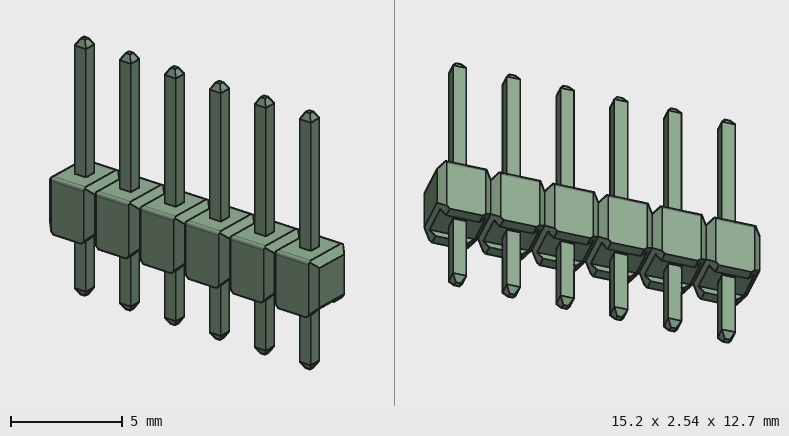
import cadquery as cq

length = 15.24
unit_count = 6
pitch = length / unit_count

block_width = pitch
block_height = 2.8
end_bevel = 0.35
bottom_bevel = 0.49
top_edge_radius = 0.17
groove_width = 1.54
groove_depth = 0.29

pin_length = 5 * pitch
pin_width = pitch / 4
pin_below_block = 3.2
tip_length = 0.34
tip_flat = 0.25


def make_block():
    """Insulator block with rounded long top edges, beveled ends and a groove underneath."""
    half = block_width / 2
    bar = (
        cq.Workplane("XY")
        .box(block_width, block_width, block_height, centered=(True, True, False))
        .edges("|X and >Z")
        .fillet(top_edge_radius)
    )
    plan_prism = (
        cq.Workplane("XY")
        .rect(block_width, block_width)
        .extrude(block_height)
        .edges("|Z")
        .chamfer(end_bevel)
    )
    elevation_prism = (
        cq.Workplane("XZ")
        .moveTo(half - bottom_bevel, 0)
        .lineTo(half, bottom_bevel)
        .lineTo(half, block_height - end_bevel)
        .lineTo(half - end_bevel, block_height)
        .lineTo(end_bevel - half, block_height)
        .lineTo(-half, block_height - end_bevel)
        .lineTo(-half, bottom_bevel)
        .lineTo(bottom_bevel - half, 0)
        .close()
        .extrude(half, both=True)
    )
    groove = cq.Workplane("XY").box(
        block_width, groove_width, groove_depth, centered=(True, True, False)
    )
    return bar.intersect(plan_prism).intersect(elevation_prism).cut(groove)


def make_pin():
    """Square pin with a tapered tip at each end."""
    shank_length = pin_length - 2 * tip_length
    shank = cq.Workplane("XY").rect(pin_width, pin_width).extrude(shank_length / 2, both=True)
    upper_tip = (
        cq.Workplane("XY")
        .workplane(offset=shank_length / 2)
        .rect(pin_width, pin_width)
        .workplane(offset=tip_length)
        .rect(tip_flat, tip_flat)
        .loft(ruled=True)
    )
    lower_tip = upper_tip.mirror("XY")
    pin_center = pin_length / 2 - pin_below_block
    return shank.union(upper_tip).union(lower_tip).translate((0, 0, pin_center))


def make_header_unit(position):
    """One header unit: a block and its pin as a single solid, centered at the given X."""
    return make_block().union(make_pin()).translate((position, 0, 0))


first_position = (pitch - length) / 2
header_units = [make_header_unit(first_position + i * pitch) for i in range(unit_count)]

result = cq.Compound.makeCompound([unit.val() for unit in header_units])